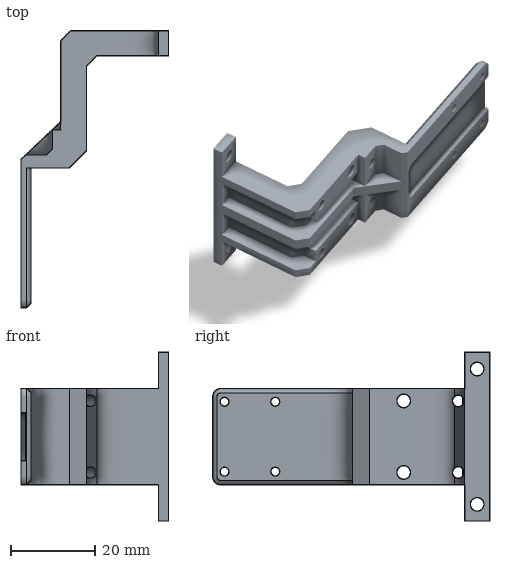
import cadquery as cq
import math

width = 35.0
length = 65.7
tab_span = 40.0
body_height = 22.85

plate_thickness = 2.4
shoulder_y = 33.1
wall_outer_x = 9.4
wall_inner_x = 15.6
arm_thickness = 6.0
arm_y = length - arm_thickness
bend_chamfer = 2.4
lower_chamfer = 4.1
ramp_start_y = 35.15
ramp_end_y = 44.1

tab_thickness = 2.4
tab_x = width - tab_thickness
tab_hole_diameter = 3.15
tab_hole_y = 62.7
tab_hole_z = 16.0

plate_corner_radius = 2.0
plate_edge_chamfer = 1.05
recess_depth = 1.05
recess_height = 11.4
recess_end_y = 34.9
recess_radius = 2.0
plate_hole_diameter = 2.05
plate_hole_ys = (2.8, 14.85)
plate_hole_z = 8.3

rib_thickness = 2.95
notch_floor_y = 36.2
notch_floor_x = 7.5
notch_chamfer = 1.45
notch_top_y = 42.2
channel_depth = 2.9
channel_floor_x = wall_outer_x + channel_depth
channel_floor_y = length - channel_depth
channel_bend = 2.55
channel_bend_y = channel_floor_y - channel_bend
channel_height = 11.0
arm_channel_height = 18.15
arm_channel_start_y = 60.65

wall_hole_z = 8.5
wall_holes = ((58.2, 2.7), (45.3, 3.15))
notch_hole_y = 39.2
notch_hole_z = 6.9
notch_hole_diameter = 2.5
notch_hole_depth = 5.8
notch_hole_lead = 1.3
notch_hole_tilt = 20.0


def prism(points, height):
    """Extrude an XY outline symmetrically about mid-height."""
    return cq.Workplane("XY").polyline(points).close().extrude(height / 2, both=True)


def box(x_range, y_range, height):
    """Box centred on mid-height."""
    (x0, x1), (y0, y1) = x_range, y_range
    return prism([(x0, y0), (x1, y0), (x1, y1), (x0, y1)], height)


def hole_pair(x_start, depth, y, z, diameter):
    """Two cylinders along X, mirrored about mid-height."""
    return (
        cq.Workplane("YZ", origin=(x_start, 0, 0))
        .pushPoints([(y, z), (y, -z)])
        .circle(diameter / 2)
        .extrude(depth)
    )


def make_body():
    return prism(
        [
            (0, shoulder_y),
            (wall_inner_x - lower_chamfer, shoulder_y),
            (wall_inner_x, shoulder_y + lower_chamfer),
            (wall_inner_x, arm_y - bend_chamfer),
            (wall_inner_x + bend_chamfer, arm_y),
            (width, arm_y),
            (width, length),
            (wall_outer_x + bend_chamfer, length),
            (wall_outer_x, length - bend_chamfer),
            (wall_outer_x, ramp_end_y),
            (0, ramp_start_y),
        ],
        body_height,
    )


def make_plate():
    """Thin plate with rounded free corners and chamfered inner edges."""
    plate = box((0, plate_thickness), (0, shoulder_y), body_height)
    plate = plate.edges("|X and <Y").fillet(plate_corner_radius)
    rim = plate.faces(">X").edges("not >Y")
    return plate.newObject(rim.vals()).chamfer(plate_edge_chamfer)


def make_recess():
    """Shallow pocket in the plate's outer face, open at the free end."""
    recess = box((0, recess_depth), (0, recess_end_y), recess_height)
    return recess.edges("|X and >Y").fillet(recess_radius)


def make_side_cuts():
    """Notches and channels, leaving the central rib uncut."""
    notch = prism(
        [
            (0, notch_floor_y),
            (notch_floor_x - notch_chamfer, notch_floor_y),
            (notch_floor_x, notch_floor_y + notch_chamfer),
            (notch_floor_x, notch_top_y),
            (wall_outer_x, notch_top_y),
            (wall_outer_x, ramp_end_y),
            (0, ramp_end_y),
        ],
        body_height,
    )
    wall_channel = box((0, channel_floor_x), (notch_top_y, channel_bend_y), channel_height)
    bend_channel = prism(
        [
            (0, channel_bend_y),
            (channel_floor_x, channel_bend_y),
            (channel_floor_x + channel_bend, channel_floor_y),
            (tab_x, channel_floor_y),
            (tab_x, length),
            (0, length),
        ],
        arm_channel_height,
    )
    strip_range = (channel_bend_y, arm_channel_start_y)
    strips = box((0, width), strip_range, arm_channel_height).cut(
        box((0, width), strip_range, channel_height)
    )
    rib = box((0, width), (0, length), rib_thickness)
    return notch.union(wall_channel).union(bend_channel.cut(strips)).cut(rib)


def make_notch_hole(side):
    """Blind hole from the notch floor, leaning away from mid-height as it deepens."""
    mouth = cq.Vector(notch_floor_x, notch_hole_y, side * notch_hole_z)
    tilt = math.radians(notch_hole_tilt)
    direction = cq.Vector(math.cos(tilt), 0, side * math.sin(tilt))
    start = mouth - direction * notch_hole_lead
    reach = notch_hole_lead + notch_hole_depth
    return cq.Workplane(cq.Solid.makeCylinder(notch_hole_diameter / 2, reach, start, direction))


tabs = box((tab_x, width), (arm_y, length), tab_span)
result = make_body().union(make_plate()).union(tabs)
result = result.cut(make_recess()).cut(make_side_cuts())

result = result.cut(hole_pair(tab_x, tab_thickness, tab_hole_y, tab_hole_z, tab_hole_diameter))
for hole_y in plate_hole_ys:
    result = result.cut(hole_pair(0, plate_thickness, hole_y, plate_hole_z, plate_hole_diameter))
for hole_y, hole_diameter in wall_holes:
    result = result.cut(hole_pair(0, width / 2, hole_y, wall_hole_z, hole_diameter))
for side in (1, -1):
    result = result.cut(make_notch_hole(side))